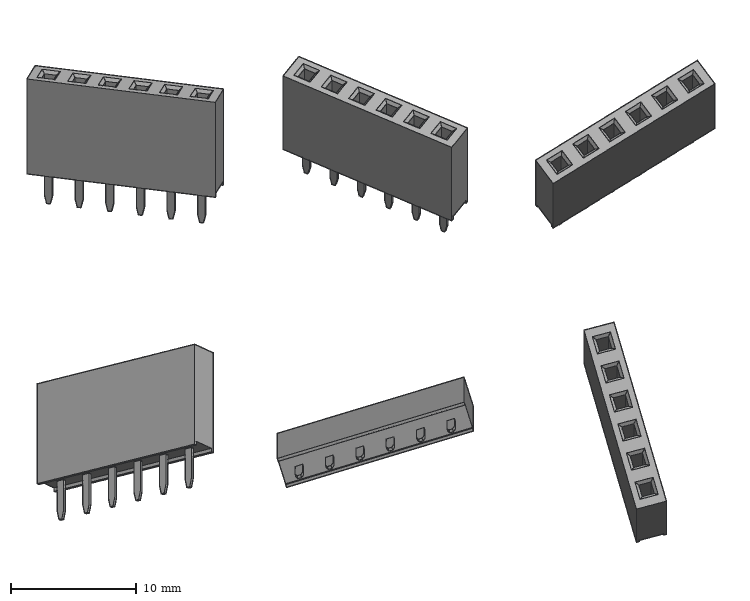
import cadquery as cq

PIN_COUNT = 6
ROW_SPAN = 12.7
PITCH = ROW_SPAN / (PIN_COUNT - 1)

HOUSING_LENGTH = 15.64
HOUSING_DEPTH = 2.5
HOUSING_HEIGHT = 8.5
RAIL_THICKNESS = 0.25
CHANNEL_HEIGHT = 0.3
CHANNEL_WIDTH = HOUSING_DEPTH - 2 * RAIL_THICKNESS

BORE_SIZE = 1.0
LEAD_IN = 0.25
MOUTH_SIZE = BORE_SIZE + 2 * LEAD_IN
SOCKET_DEPTH = 6.0

PIN_WIDTH = 0.64
PIN_THICKNESS = 0.25
PIN_PROTRUSION = 3.0
TIP_WIDTH = 0.3
TIP_LENGTH = 0.72

PIN_POSITIONS = [i * PITCH - ROW_SPAN / 2 for i in range(PIN_COUNT)]


def make_socket(x):
    """Cutting shape for one socket: a straight bore below a tapered square mouth."""
    bore = (
        cq.Workplane("XY", origin=(x, 0, HOUSING_HEIGHT - SOCKET_DEPTH))
        .rect(BORE_SIZE, BORE_SIZE)
        .extrude(SOCKET_DEPTH)
    )
    mouth = (
        cq.Workplane("XY", origin=(x, 0, HOUSING_HEIGHT - LEAD_IN))
        .rect(BORE_SIZE, BORE_SIZE)
        .workplane(offset=LEAD_IN)
        .rect(MOUTH_SIZE, MOUTH_SIZE)
        .loft(ruled=True)
    )
    return bore.union(mouth)


def make_housing():
    """Block with a full-length channel underneath and a row of sockets on top."""
    block = cq.Workplane("XY").rect(HOUSING_LENGTH, HOUSING_DEPTH).extrude(HOUSING_HEIGHT)
    channel = cq.Workplane("XY").rect(HOUSING_LENGTH, CHANNEL_WIDTH).extrude(CHANNEL_HEIGHT)
    housing = block.cut(channel)
    for x in PIN_POSITIONS:
        housing = housing.cut(make_socket(x))
    return housing


def make_pin(x):
    """Flat pin hanging from the channel ceiling, tapering in width towards its tip."""
    tip_z = -PIN_PROTRUSION
    shoulder_z = tip_z + TIP_LENGTH
    return (
        cq.Workplane("XZ", origin=(x, 0, 0))
        .moveTo(-PIN_WIDTH / 2, CHANNEL_HEIGHT)
        .lineTo(-PIN_WIDTH / 2, shoulder_z)
        .lineTo(-TIP_WIDTH / 2, tip_z)
        .lineTo(TIP_WIDTH / 2, tip_z)
        .lineTo(PIN_WIDTH / 2, shoulder_z)
        .lineTo(PIN_WIDTH / 2, CHANNEL_HEIGHT)
        .close()
        .extrude(PIN_THICKNESS / 2, both=True)
    )


housing = make_housing()
pins = [make_pin(x) for x in PIN_POSITIONS]

result = cq.Compound.makeCompound([housing.val(), *[pin.val() for pin in pins]])